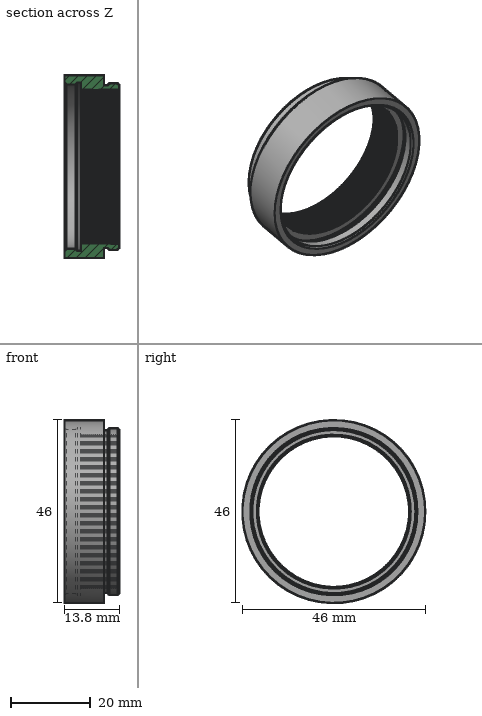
import cadquery as cq
import math

collar_diameter = 46.0
collar_length = 10.0
total_length = 13.8

neck_diameter = 41.0
neck_length = 0.85
male_diameter = 42.0
male_chamfer = (male_diameter - neck_diameter) / 2

socket_diameter = 41.25
mouth_diameter = 42.25
mouth_chamfer = (mouth_diameter - socket_diameter) / 2
relief_diameter = mouth_diameter
relief_length = 1.25
socket_depth = 4.05

crest_diameter = 37.85
crest_count = 20
flank_angle = math.radians(60)
lead_in = 0.1
lead_out = 0.25
crest_pitch = (total_length - socket_depth - lead_in - lead_out) / (crest_count - 1)


def revolve_about_axis(profile):
    """Turn closed (x, radius) points about the X axis into a solid of revolution."""
    return cq.Workplane("XY").polyline(profile).close().revolve(360, (0, 0, 0), (1, 0, 0))


def make_body():
    """Outer envelope: collar, neck and chamfered male band, without the opening."""
    neck_end = collar_length + neck_length
    return revolve_about_axis([
        (0, 0),
        (0, collar_diameter / 2),
        (collar_length, collar_diameter / 2),
        (collar_length, neck_diameter / 2),
        (neck_end, neck_diameter / 2),
        (neck_end + male_chamfer, male_diameter / 2),
        (total_length - male_chamfer, male_diameter / 2),
        (total_length, neck_diameter / 2),
        (total_length, 0),
    ])


def make_socket():
    """Space of the female socket with its mouth chamfer and relief groove."""
    relief_start = socket_depth - relief_length
    return revolve_about_axis([
        (0, 0),
        (0, mouth_diameter / 2),
        (mouth_chamfer, socket_diameter / 2),
        (relief_start, socket_diameter / 2),
        (relief_start + mouth_chamfer, relief_diameter / 2),
        (socket_depth, relief_diameter / 2),
        (socket_depth, 0),
    ])


def make_grooved_bore():
    """Space of the bore from the socket shoulder to the male end, with its ring grooves."""
    crest_radius = crest_diameter / 2
    shoulder_radius = crest_radius + lead_in * math.tan(flank_angle)
    end_radius = crest_radius + lead_out * math.tan(flank_angle)
    root_radius = crest_radius + crest_pitch / 2 * math.tan(flank_angle)
    first_crest = socket_depth + lead_in

    profile = [(socket_depth, 0), (socket_depth, shoulder_radius), (first_crest, crest_radius)]
    for groove in range(crest_count - 1):
        groove_start = first_crest + groove * crest_pitch
        profile.append((groove_start + crest_pitch / 2, root_radius))
        profile.append((groove_start + crest_pitch, crest_radius))
    profile += [(total_length, end_radius), (total_length, 0)]
    return revolve_about_axis(profile)


result = make_body().cut(make_socket()).cut(make_grooved_bore())